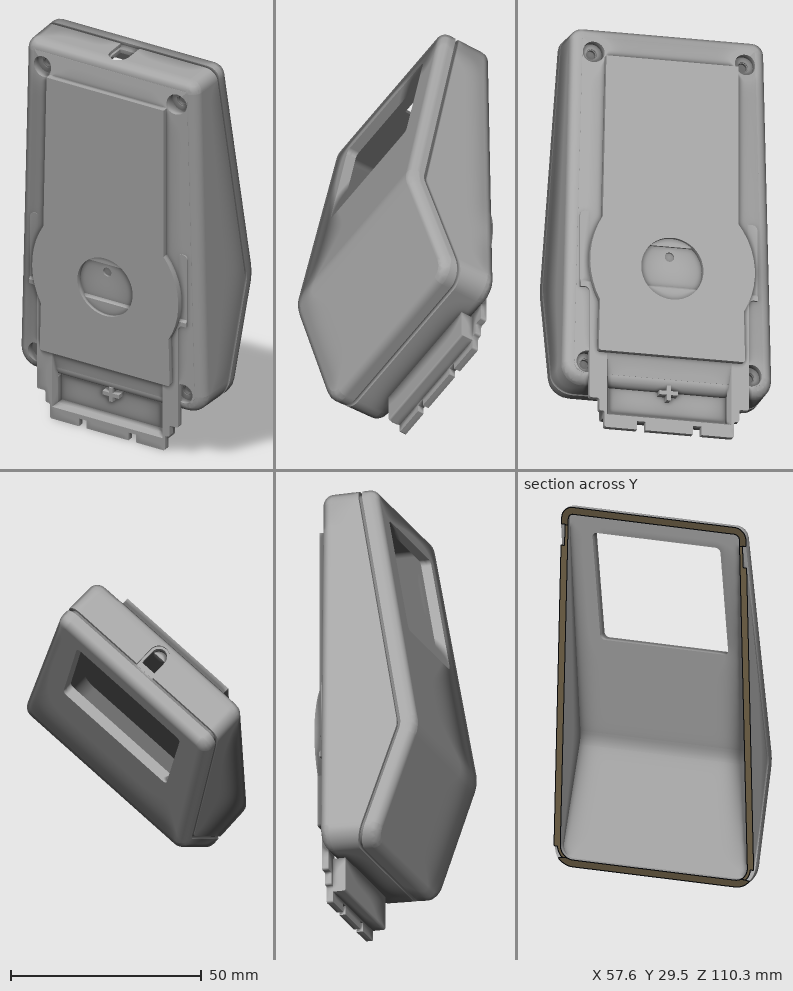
import cadquery as cq
import math


pad_level = 1.8
rim_level = 3.0
slider_inner_level = 3.5
ear_level = 2.3
tray_back_level = 7.0

housing_top = 110.3
housing_bottom = 11.9
top_half_width = 26.5
bottom_half_width = 28.9
top_corner_radius = 3.3
bottom_corner_radius = 5.5
back_edge_radius = 2.8
side_draft = 1.0
nominal_level = 16.0
lid_edge_radius = 2.5

fold_z = 43.6
fold_y = 29.8
fold_radius = 9.8
upper_tilt = math.radians(10)
lower_tilt = math.radians(20)

wall = 2.0
inner_back_level = 7.0
front_wall = 2.8
lid_depth = 4.1
seam_gap = 1.0

window_width = 36.7
window_bottom = 72.8
window_top = 103.4
window_corner_radius = 1.3

notch_width = 5.7
notch_inner_width = 4.4
notch_inner_top = 11.6
notch_step_depth = 1.0
notch_center_y = 7.5

screw_head_diameter = 5.7
screw_mouth_diameter = 3.0
screw_hole_diameter = 2.5
screw_head_level = 5.1
screw_mouth_depth = 0.3
screw_hole_depth = 1.3
top_screw_x = 20.6
top_screw_z = 103.2
bottom_screw_x = 22.4
bottom_screw_z = 17.9

pad_top = 101.8
pad_bottom = 20.5
pad_corner_radius = 0.7
pad_top_left = -17.9
pad_right = 18.1
pad_foot_half_width = 20.0
port_diameter = 17.0
port_level = 1.0
port_x = 0.1
port_z = 44.5
band_level = 1.7
band_bottom = 39.5
band_top = 50.8
ramp_run = 0.7
pin_hole_diameter = 2.5
pin_hole_x = -0.2
pin_hole_z = 48.2
pin_hole_depth = 1.3

slider_x = -0.2
slider_top = 59.2
ear_half_width = 24.2
ear_bottom = 38.3
ear_corner_radius = 1.3
slider_half_width = 21.7
shoulder_half_width = 19.1
shoulder_z = 7.8
tip_half_width = 17.6
tip_z = 4.4
slider_corner_radius = 0.5
tip_notch_width = 2.3
tip_notch_depth = 2.3
tip_notch_x = 7.6

opening_half_width = 17.0
opening_bevel = 0.8
opening_bottom = 3.5
opening_top = 22.1
tray_bottom = 2.9
tray_edge_radius = 0.5
tray_floor = 1.5
cross_width = 5.1
cross_height = 4.1
cross_bar = 1.1
cross_z = 11.2
cross_level = 3.0


def back_plane(level):
    """Plane parallel to the back face, X right and Z up, seen from -Y."""
    return cq.Workplane("XZ", origin=(0, level, 0))


def slab(sketch, depth):
    """Extrudes a back_plane sketch toward +Y."""
    return sketch.extrude(-depth)


def box_between(x_min, x_max, y_min, y_max, z_min, z_max):
    size = (x_max - x_min, y_max - y_min, z_max - z_min)
    return cq.Workplane("XY", origin=(x_min, y_min, z_min)).box(*size, centered=False)


def outline_corners(inset):
    top = top_half_width - inset
    bottom = bottom_half_width - inset
    low_z = housing_bottom + inset
    high_z = housing_top - inset
    return [(-bottom, low_z), (bottom, low_z), (top, high_z), (-top, high_z)]


def outline_prism(inset):
    """Drafted housing outline moved inward by inset, running past the fold."""
    depth = 2 * nominal_level
    growth = nominal_level * math.tan(math.radians(side_draft))
    front = back_plane(depth).polyline(outline_corners(inset - growth)).close()
    prism = front.extrude(depth, taper=side_draft)
    prism = prism.edges("not(#Y)").edges(">Z").fillet(top_corner_radius - inset)
    return prism.edges("not(#Y)").edges("<Z").fillet(bottom_corner_radius - inset)


def behind_front(depth):
    """Everything behind the folded front surface, which is moved inward by depth."""
    upper_drop = depth / math.cos(upper_tilt)
    lower_drop = depth / math.cos(lower_tilt)
    upper_slope = math.tan(upper_tilt)
    lower_slope = math.tan(lower_tilt)
    ridge_rise = (lower_drop - upper_drop) / (upper_slope + lower_slope)
    ridge_z = fold_z + ridge_rise
    ridge_y = fold_y - upper_drop - upper_slope * ridge_rise
    top_z = housing_top + lid_depth
    bottom_z = housing_bottom - lid_depth
    profile = [
        (rim_level, bottom_z),
        (ridge_y - lower_slope * (ridge_z - bottom_z), bottom_z),
        (ridge_y, ridge_z),
        (ridge_y - upper_slope * (top_z - ridge_z), top_z),
        (rim_level, top_z),
    ]
    wedge = cq.Workplane("YZ").polyline(profile).close().extrude(2 * bottom_half_width, both=True)
    return wedge.edges("|X").edges(">Y").fillet(fold_radius - depth)


def housing_layer(inset, depth):
    return outline_prism(inset).intersect(behind_front(depth))


def front_lid():
    body = housing_layer(0, 0)
    body = round_front(body)
    body = body.cut(behind_front(lid_depth)).cut(housing_layer(wall, front_wall))
    return body.cut(display_window())


def round_front(body):
    front_faces = cq.selectors.BoxSelector(
        (-1.1, 11, housing_bottom), (1.1, 2 * fold_y, housing_top - 1.1))
    return body.faces(front_faces).edges("not(|X)").fillet(lid_edge_radius)


def display_window():
    height = window_top - window_bottom
    sketch = back_plane(fold_y / 2).center(0, window_bottom + height / 2).rect(window_width, height)
    return slab(sketch, fold_y).edges("|Y").fillet(window_corner_radius)


def crown():
    """Shallow raised back, sloping on all four sides from the rounded rim up to the pad."""
    crest = [
        (-pad_foot_half_width, pad_bottom),
        (pad_right, pad_bottom),
        (pad_right, pad_top),
        (pad_top_left, pad_top),
    ]
    rim = back_plane(rim_level).polyline(outline_corners(back_edge_radius)).close()
    slopes = rim.workplane(offset=rim_level - pad_level).polyline(crest).close().loft(ruled=True)
    return slopes.intersect(outline_prism(back_edge_radius))


def back_pad():
    outline = (
        back_plane(0)
        .moveTo(pad_top_left, pad_top)
        .lineTo(-18.9, 57.5)
        .threePointArc((-22.3, 46.3), (-19.6, 34.4))
        .lineTo(-pad_foot_half_width, pad_bottom)
        .lineTo(pad_foot_half_width, pad_bottom)
        .lineTo(19.6, 34.4)
        .threePointArc((22.6, 46.3), (pad_right, 58.5))
        .lineTo(pad_right, pad_top)
        .close()
    )
    return slab(outline, pad_level).edges("|Y").edges("<Z").fillet(pad_corner_radius)


def port():
    """Round recess in the pad, with a deeper band across it and a pin hole in the band."""
    floor = back_plane(port_level)
    recess = slab(back_plane(0).center(port_x, port_z).circle(port_diameter / 2), port_level)
    profile = [
        (port_level, band_bottom),
        (band_level, band_bottom + ramp_run),
        (band_level, band_top),
        (port_level, band_top),
    ]
    band = cq.Workplane("YZ").polyline(profile).close().extrude(port_diameter, both=True)
    column = slab(floor.center(port_x, port_z).circle(port_diameter / 2), pad_level)
    pin_hole = slab(floor.center(pin_hole_x, pin_hole_z).circle(pin_hole_diameter / 2), pin_hole_depth)
    return recess.union(band.intersect(column)).union(pin_hole)


def screw_holes():
    centers = [
        (side * x, z)
        for side in (-1, 1)
        for x, z in ((top_screw_x, top_screw_z), (bottom_screw_x, bottom_screw_z))
    ]
    heads = slab(back_plane(0).pushPoints(centers).circle(screw_head_diameter / 2), screw_head_level)
    floor = back_plane(screw_head_level).pushPoints(centers)
    mouths = slab(floor.circle(screw_mouth_diameter / 2), screw_mouth_depth)
    holes = slab(floor.circle(screw_hole_diameter / 2), screw_hole_depth)
    return heads.union(mouths).union(holes)


def notch_tool(width, y_max, z_min):
    """Vertical U-shaped cut, round toward the back and ending flat at y_max."""
    height = housing_top + 1.1 - z_min
    round_end = cq.Workplane("XY", origin=(0, notch_center_y, z_min)).circle(width / 2).extrude(height)
    straight = box_between(-width / 2, width / 2, notch_center_y, y_max, z_min, z_min + height)
    return round_end.union(straight)


def cable_notch():
    outer = notch_tool(notch_width, fold_y / 2, housing_top - notch_step_depth)
    inner = notch_tool(notch_inner_width, notch_inner_top, housing_top - 2 * wall)
    return outer.union(inner).intersect(behind_front(lid_depth))


def back_form():
    """Outer form of the back shell, with its rounded rim and crown."""
    body = housing_layer(0, lid_depth + seam_gap)
    return body.faces("<Y").edges().fillet(back_edge_radius).union(crown())


def back_shell(slider):
    lip = housing_layer(seam_gap, lid_depth).cut(behind_front(lid_depth + seam_gap))
    cavity = housing_layer(wall, 0).cut(box_between(-33.1, 33.1, 0, inner_back_level, 0, housing_top))
    body = back_form().union(lip).cut(cavity).union(back_pad())
    return body.cut(port()).cut(screw_holes()).cut(cable_notch()).cut(slider)


def slider_plate():
    thickness = slider_inner_level - pad_level
    half_profile = [
        (ear_half_width, slider_top),
        (ear_half_width, ear_bottom),
        (slider_half_width, ear_bottom),
        (slider_half_width, shoulder_z),
        (shoulder_half_width, shoulder_z),
        (shoulder_half_width, tip_z),
        (tip_half_width, tip_z),
        (tip_half_width, 0),
    ]
    mirrored = [(-x, z) for x, z in reversed(half_profile)]
    plate = slab(back_plane(pad_level).polyline(half_profile + mirrored).close(), thickness)
    plate = plate.edges("|Y").edges(">Z").fillet(ear_corner_radius)
    inner_x = slider_half_width + slider_corner_radius
    ear_roots = cq.selectors.BoxSelector((-inner_x, 0, ear_bottom - 1.1), (inner_x, fold_y, ear_bottom + 1.1))
    plate = plate.edges("|Y").edges(ear_roots).fillet(ear_corner_radius)
    lower_corners = cq.selectors.BoxSelector((-inner_x, 0, -1.1), (inner_x, fold_y, shoulder_z + 1.1))
    return plate.edges("|Y").edges(lower_corners).fillet(slider_corner_radius)


def slider_step():
    """Material removed from the upper end of the slider, above a ramp across its full width."""
    profile = [
        (pad_level, band_bottom),
        (ear_level, band_bottom + ramp_run),
        (ear_level, slider_top),
        (pad_level, slider_top),
    ]
    return cq.Workplane("YZ").polyline(profile).close().extrude(ear_half_width, both=True)


def tip_notches():
    sketch = back_plane(pad_level).pushPoints([(-tip_notch_x, 0), (tip_notch_x, 0)])
    return slab(sketch.rect(tip_notch_width, 2 * tip_notch_depth), slider_inner_level)


def tray_shell():
    tray = box_between(
        -tip_half_width, tip_half_width, slider_inner_level, tray_back_level, tray_bottom, housing_bottom)
    return tray.edges(">Y and <Z").fillet(tray_edge_radius)


def tray_opening():
    """Beveled window through the slider, continuing straight down to the tray floor."""
    height = opening_top - opening_bottom
    inner_half_width = opening_half_width - opening_bevel
    inner_bottom = opening_bottom + opening_bevel
    sketch = back_plane(slider_inner_level).center(0, opening_bottom + height / 2)
    sketch = sketch.rect(2 * inner_half_width, height - 2 * opening_bevel)
    sketch = sketch.workplane(offset=slider_inner_level - pad_level).rect(2 * opening_half_width, height)
    pocket = box_between(
        -inner_half_width, inner_half_width,
        slider_inner_level, tray_back_level - tray_floor,
        inner_bottom, housing_bottom)
    return sketch.loft(ruled=True).union(pocket)


def cross_stud():
    sketch = back_plane(cross_level).center(0, cross_z)
    depth = tray_back_level - tray_floor - cross_level
    upright = slab(sketch.rect(cross_bar, cross_height), depth)
    return upright.union(slab(sketch.rect(cross_width, cross_bar), depth))


def sliding_tray():
    body = slider_plate().cut(slider_step()).cut(tip_notches()).union(tray_shell())
    body = body.cut(tray_opening())
    return body.translate((slider_x, 0, 0))


tray_body = sliding_tray()
lid = front_lid()
shell = back_shell(tray_body)
slider = tray_body.union(cross_stud().cut(back_form()))

result = cq.Compound.makeCompound([body.solids().val() for body in (shell, lid, slider)])